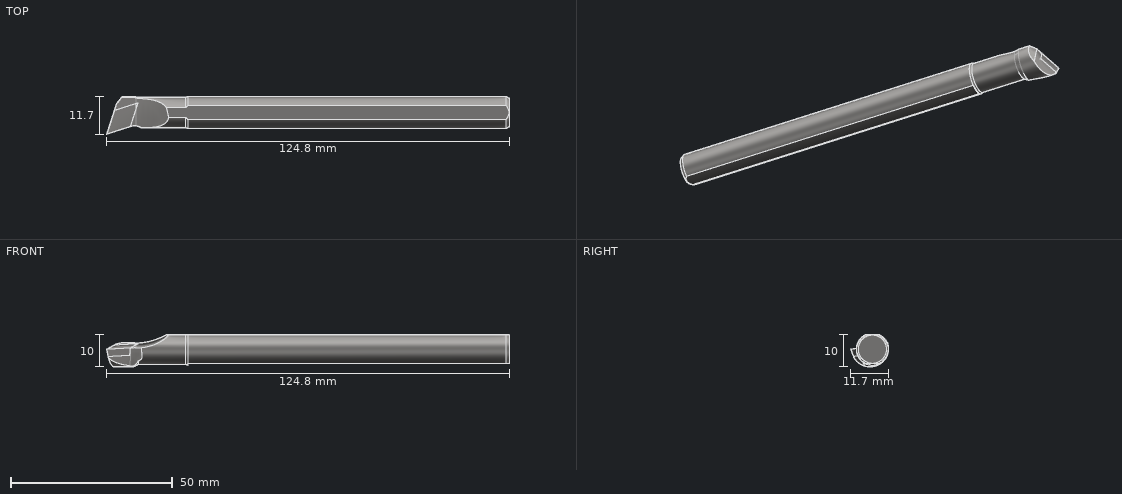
import cadquery as cq
import math

length = 124.8
shank_radius = 5.0
flat_height = 4.5
shank_start = 25.2
end_chamfer_length = 1.1
end_chamfer_depth = 0.6

neck_radius = 4.7
neck_end = 24.5

head_radius = 5.7
head_y = -0.7
head_z = 0.2
head_end = 8.4
head_blend_end = 9.9

tip_y = -6.7
rake_angle = 10.0
rake_cos = math.cos(math.radians(rake_angle))
rake_sin = math.sin(math.radians(rake_angle))
scoop_start = 9.1
scoop_radius = 16.3
big = 25.0
margin = 1.2
cutter_depth = 10.0

insert_thickness = 2.4
relief_angle = 7.0
end_edge = (2.4, 7.4)
side_edge = (7.4, 2.4)

corner_start_y = 2.7
corner_bevel_end = (4.9, 5.0)
flank_run = 7.5
flank_exit = (10.7, -4.7)

rake_plane = cq.Plane(
    origin=(0, tip_y, 0), xDir=(1, 0, 0), normal=(0, -rake_sin, rake_cos)
)


def on_rake(x, y):
    """Position on the rake plane that lies at X, Y of the part."""
    return (x, (y - tip_y) / rake_cos)


def bar(radius, start, end, y=0.0, z=0.0):
    """Round bar along X."""
    return cq.Workplane("YZ", origin=(start, y, z)).circle(radius).extrude(end - start)


def cone(start_radius, end_radius, start, end, start_y=0.0, start_z=0.0):
    """Blend between a circle at (start_y, start_z) and a circle on the bar axis."""
    return (
        cq.Workplane("YZ", origin=(start, 0, 0))
        .center(start_y, start_z)
        .circle(start_radius)
        .workplane(offset=end - start)
        .center(-start_y, -start_z)
        .circle(end_radius)
        .loft(ruled=True)
    )


def make_shank():
    chamfer_start = length - end_chamfer_length
    end_radius = shank_radius - end_chamfer_depth
    shank = bar(shank_radius, shank_start, chamfer_start)
    shank = shank.union(cone(shank_radius, end_radius, chamfer_start, length))
    flats = cq.Workplane("XY").box(2 * length, big, 2 * flat_height)
    return shank.intersect(flats)


def make_neck():
    neck = bar(neck_radius, head_end, neck_end)
    neck = neck.union(cone(neck_radius, shank_radius, neck_end, shank_start))
    top_flat = cq.Workplane("XY").box(2 * length, big, big).translate((0, 0, flat_height - big / 2))
    return neck.intersect(top_flat)


def make_head():
    head = bar(head_radius, 0, head_end, head_y, head_z)
    blend = cone(head_radius, neck_radius, head_end, head_blend_end, head_y, head_z)
    return head.union(blend)


def scoop_cutter():
    """Clears everything above the rake plane and curves up behind the head."""
    mid_angle = math.radians(45)
    arc_mid = (
        scoop_start + scoop_radius * math.sin(mid_angle),
        scoop_radius * (1 - math.cos(mid_angle)),
    )
    side_plane = cq.Plane(origin=(0, tip_y, 0), xDir=(1, 0, 0), normal=(0, -rake_cos, -rake_sin))
    return (
        cq.Workplane(side_plane)
        .moveTo(-margin, 0)
        .lineTo(scoop_start, 0)
        .threePointArc(arc_mid, (scoop_start + scoop_radius, scoop_radius))
        .lineTo(-margin, scoop_radius)
        .close()
        .extrude(big, both=True)
    )


def relieved_cutter(outline):
    """Cutter that widens below the rake plane, so the wall it leaves leans inwards."""
    below = outline.extrude(-cutter_depth, taper=-relief_angle)
    above = outline.toPending().extrude(margin)
    return below.union(above)


def end_cutter():
    """Slanted end face of the head, in line with the insert's end edge."""
    corner_x = end_edge[0] / end_edge[1] * (corner_start_y - tip_y)
    below_x = -end_edge[0]
    below_y = tip_y - end_edge[1]
    outline = [(below_x, below_y), (corner_x, corner_start_y), corner_bevel_end]
    outline += [(corner_bevel_end[0], big), (-big, big), (-big, below_y)]
    return relieved_cutter(cq.Workplane(rake_plane).polyline([on_rake(*p) for p in outline]).close())


def flank_cutter():
    """Side flank in line with the insert's side edge, curving out into the neck."""
    slope = side_edge[1] / side_edge[0]
    flank_end = on_rake(flank_run, tip_y + slope * flank_run)
    outline = (
        cq.Workplane(rake_plane)
        .moveTo(*on_rake(-flank_run, tip_y - slope * flank_run))
        .lineTo(*flank_end)
        .tangentArcPoint(on_rake(*flank_exit), relative=False)
        .lineTo(*on_rake(flank_exit[0], -big))
        .lineTo(*on_rake(-flank_run, -big))
        .close()
    )
    return relieved_cutter(outline)


def make_insert():
    far_corner = (end_edge[0] + side_edge[0], end_edge[1] + side_edge[1])
    runs = [(0, 0), end_edge, far_corner, side_edge]
    corners = [on_rake(x, tip_y + y) for x, y in runs]
    return cq.Workplane(rake_plane).polyline(corners).close().extrude(-insert_thickness, taper=relief_angle)


insert = make_insert()

holder = make_head().union(make_neck()).union(make_shank())
holder = holder.cut(scoop_cutter())
holder = holder.cut(end_cutter())
holder = holder.cut(flank_cutter())
holder = holder.cut(insert)

result = cq.Compound.makeCompound([holder.val(), insert.val()])